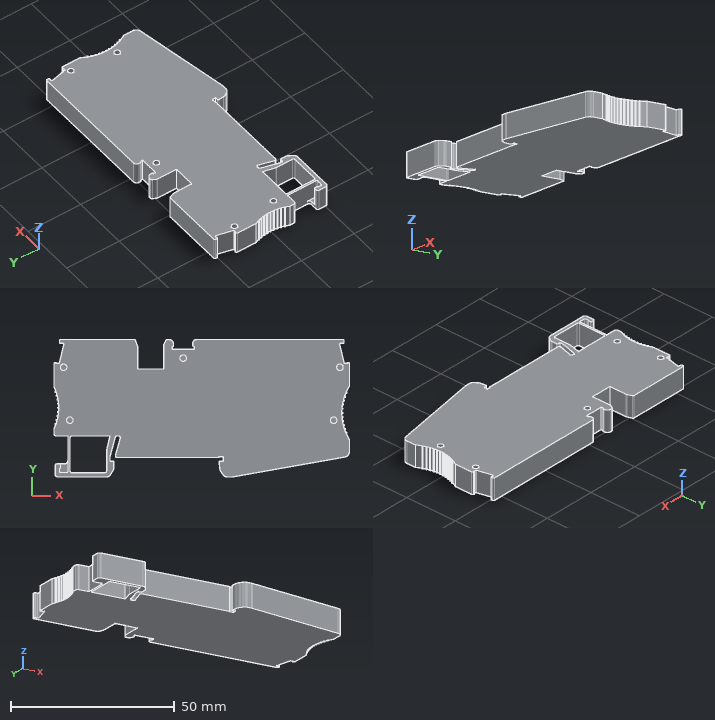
import cadquery as cq
import math

length = 90.7
width = 42.2
thickness = 8.2

shoulder_y = 34.9
body_bottom_y = 12.5
rail_seat_y = 6.0
foot_lip_y = 4.9
slope_end_y = 6.35
hook_top_y = 4.1
foot_floor = 1.4

lip_height = 1.2
lip_inset = 1.7
nib = 0.3
nib_width = 0.6

marker_slot_left = 25.8
marker_slot_right = 33.65
marker_slot_floor = 33.2
latch_left = 36.4
latch_right = 43.0
latch_floor = 39.2
latch_undercut_top = 39.9
latch_throat = 40.2
latch_throat_left = 36.7
latch_throat_right = 42.5

foot_wall_x = 4.3
foot_wall = 0.7
foot_right_x = 18.4
foot_inner_x = 16.1
spring_inner_x = 17.2
spring_outer_x = 18.9
hook_x = 0.4
hook_neck_x = 2.0
hook_root_x = 1.7
web_height = 1.3
web_fillet = 0.9
web_overlap = 0.4

nose_x = 50.6
nose_notch_x = 51.9
nose_notch_height = 0.2

peg_radius = 1.0
peg_depth = thickness / 2
upper_peg_inset = 3.0
lower_peg_inset = 4.9
upper_peg_y = 33.65
lower_peg_y = 17.4
middle_peg = (39.6, 36.5)

left_scoop = {"middle_y": 21.2, "chord": 12.9, "depth": 1.45, "ridges": 9}
right_scoop = {"middle_y": 19.7, "chord": 16.5, "depth": 2.4, "ridges": 11}
ridge_pitch = 1.3
ridge_width = 0.3
ridge_height = 0.3


def rounded_prism(corners, height):
    """Extrude a closed outline of (x, y, radius) corners; radius 0 is sharp."""
    path = None
    count = len(corners)
    for i, (x, y, radius) in enumerate(corners):
        corner = cq.Vector(x, y)
        before = (cq.Vector(*corners[i - 1][:2]) - corner).normalized()
        after = (cq.Vector(*corners[(i + 1) % count][:2]) - corner).normalized()
        half_angle = before.getAngle(after) / 2
        setback = radius / math.tan(half_angle)
        start = corner + before * setback
        if path is None:
            path = cq.Workplane("XY").moveTo(start.x, start.y)
        else:
            path = path.lineTo(start.x, start.y)
        if radius:
            reach = radius / math.sin(half_angle) - radius
            middle = corner + (before + after).normalized() * reach
            end = corner + after * setback
            path = path.threePointArc((middle.x, middle.y), (end.x, end.y))
    return path.close().extrude(height)


def upper_end(x_at):
    """Upper corner of one end, from the end face up to the top edge.

    x_at turns a distance from the end face into an X position.
    """
    corners = [
        (0.0, shoulder_y + nib, 0.5),
        (nib_width, shoulder_y + nib, 0),
        (nib_width, shoulder_y, 0),
        (1.6, shoulder_y, 0),
        (3.1, width - lip_height, 0.3),
        (lip_inset, width - lip_height, 0.3),
        (lip_inset, width, 0.4),
    ]
    return [(x_at(inset), y, radius) for inset, y, radius in corners]


def make_body():
    top_edge = [
        (24.9, width, 0.4),
        (marker_slot_left, 40.0, 0.9),
        (marker_slot_left, marker_slot_floor, 0),
        (marker_slot_right, marker_slot_floor, 0),
        (marker_slot_right, 40.5, 0.4),
        (34.5, width, 0.6),
        (latch_throat_left, width, 1.45),
        (latch_throat_left, latch_throat, 0),
        (latch_left, latch_undercut_top, 0),
        (latch_left, latch_floor, 0),
        (latch_right, latch_floor, 0),
        (latch_right, latch_undercut_top, 0),
        (latch_throat_right, latch_throat, 0),
        (latch_throat_right, width, 1.2),
    ]
    lower_right = [
        (length, slope_end_y, 1.9),
        (54.9, 0.0, 1.8),
        (52.4, 0.0, 1.4),
        (50.9, 2.0, 2.7),
        (nose_x, foot_lip_y, 0.3),
        (nose_notch_x, foot_lip_y, 0),
        (nose_notch_x, rail_seat_y + nose_notch_height, 0),
        (nose_x, rail_seat_y + nose_notch_height, 0),
        (nose_x, rail_seat_y, 0),
    ]
    spring_slot = [
        (spring_outer_x, rail_seat_y, 0.45),
        (spring_outer_x, 6.7, 0.3),
        (20.5, body_bottom_y, 0.45),
        (19.0, body_bottom_y, 0.4),
        (spring_inner_x, 6.2, 0.45),
        (spring_inner_x, foot_lip_y, 0),
    ]
    foot = [
        (foot_right_x, foot_lip_y, 0.3),
        (foot_right_x, 2.4, 1.4),
        (17.0, 0.0, 1.4),
        (hook_x, 0.0, 0.8),
        (hook_x, hook_top_y, 0.6),
        (hook_neck_x, hook_top_y, 0.3),
        (hook_neck_x, 2.8, 0),
        (hook_root_x, 2.45, 0),
        (hook_root_x, foot_floor, 0.4),
        (foot_wall_x, foot_floor, 0.3),
        (foot_wall_x, body_bottom_y, 0),
        (0.0, body_bottom_y, 0.8),
    ]
    left_end = upper_end(lambda inset: inset)
    right_end = upper_end(lambda inset: length - inset)[::-1]
    outline = left_end + top_edge + right_end + lower_right + spring_slot + foot
    return rounded_prism(outline, thickness)


def make_foot_window():
    inner_x = foot_wall_x + foot_wall
    corners = [
        (inner_x, foot_floor, 0.5),
        (foot_inner_x, foot_floor, 0.5),
        (foot_inner_x, 8.2, 0.9),
        (17.1, body_bottom_y, 0),
        (inner_x, body_bottom_y, 0.4),
    ]
    return rounded_prism(corners, thickness)


def make_hook_web():
    """Low web filling the hook's slot, flared where it meets the wall."""
    wall_x = foot_wall_x + web_overlap
    hook_side_x = hook_root_x - web_overlap
    bottom_y = foot_floor - web_overlap
    flare_start_x = foot_wall_x - web_fillet
    flare_end_y = hook_top_y + web_fillet
    flare_reach = web_fillet * math.sqrt(0.5)
    return (
        cq.Workplane("XY")
        .moveTo(hook_side_x, bottom_y)
        .lineTo(wall_x, bottom_y)
        .lineTo(wall_x, flare_end_y)
        .lineTo(foot_wall_x, flare_end_y)
        .threePointArc(
            (flare_start_x + flare_reach, flare_end_y - flare_reach),
            (flare_start_x, hook_top_y),
        )
        .lineTo(hook_side_x, hook_top_y)
        .close()
        .extrude(web_height)
    )


def carve_scoop(body, end_x, inward, scoop):
    """Hollow an end face with a shallow arc and line it with grip ridges.

    inward is +1 on the left end and -1 on the right end.
    """
    depth = scoop["depth"]
    radius = ((scoop["chord"] / 2) ** 2 + depth**2) / (2 * depth)
    center_x = end_x + inward * (depth - radius)
    middle_y = scoop["middle_y"]
    body = body.cut(cq.Workplane("XY").center(center_x, middle_y).circle(radius).extrude(thickness))

    blank = cq.Workplane("XY").box(2 * ridge_height, ridge_width, thickness, centered=(True, True, False))
    blank = blank.translate((center_x + inward * radius, middle_y, 0))
    pitch_angle = math.degrees(ridge_pitch / radius)
    for i in range(scoop["ridges"]):
        angle = (i - (scoop["ridges"] - 1) / 2) * pitch_angle
        body = body.union(blank.rotate((center_x, middle_y, 0), (center_x, middle_y, 1), angle))
    return body


def make_peg_holes():
    centers = [
        (upper_peg_inset, upper_peg_y),
        (length - upper_peg_inset, upper_peg_y),
        (lower_peg_inset, lower_peg_y),
        (length - lower_peg_inset, lower_peg_y),
        middle_peg,
    ]
    top_plane = cq.Workplane("XY").workplane(offset=thickness)
    return top_plane.pushPoints(centers).circle(peg_radius).extrude(-peg_depth)


result = make_body().cut(make_foot_window()).union(make_hook_web())
result = carve_scoop(result, 0.0, 1, left_scoop)
result = carve_scoop(result, length, -1, right_scoop)
result = result.cut(make_peg_holes())